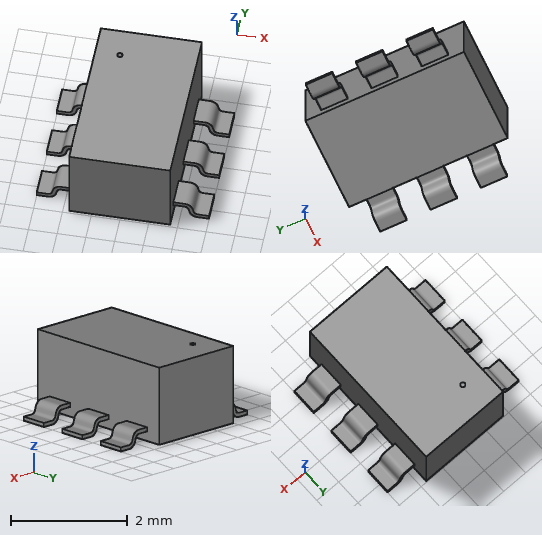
import cadquery as cq
import math

OVERALL_SPAN = 3.0
HOUSING_WIDTH = 1.76
HOUSING_LENGTH = 3.0
STANDOFF = 0.05
HOUSING_TOP = 1.44

MARK_DIAMETER = 0.087
MARK_HEIGHT = 0.01
MARK_EDGE_DISTANCE = 0.435

LEAD_PITCH = 0.95
LEAD_WIDTH = 0.5
LEAD_THICKNESS = 0.075
LEAD_TOP = 0.3
FOOT_LENGTH = 0.195
BEND_INNER_RADIUS = 0.075
BEND_ANGLE = 75.0
LEADS_PER_SIDE = 3

BEND_RADIUS = BEND_INNER_RADIUS + LEAD_THICKNESS / 2
BEND_RUN = BEND_RADIUS * math.sin(math.radians(BEND_ANGLE))
BEND_RISE = BEND_RADIUS * (1 - math.cos(math.radians(BEND_ANGLE)))
SLOPE_RISE = LEAD_TOP - LEAD_THICKNESS - 2 * BEND_RISE
SLOPE_RUN = SLOPE_RISE / math.tan(math.radians(BEND_ANGLE))


def make_housing():
    """Plain block raised above the seating plane."""
    return cq.Workplane("XY").workplane(offset=STANDOFF).rect(HOUSING_WIDTH, HOUSING_LENGTH).extrude(
        HOUSING_TOP - STANDOFF
    )


def make_mark():
    """Thin disc on the housing top, in line with the last lead row."""
    mark_x = -HOUSING_WIDTH / 2 + MARK_EDGE_DISTANCE
    return (
        cq.Workplane("XY", origin=(mark_x, LEAD_PITCH, HOUSING_TOP))
        .circle(MARK_DIAMETER / 2)
        .extrude(MARK_HEIGHT)
    )


def make_lead(y_center):
    """Lead on the -X side, offset in thickness from its bent centre line."""
    tip_x = -OVERALL_SPAN / 2
    foot_z = LEAD_THICKNESS / 2
    shoulder_z = LEAD_TOP - LEAD_THICKNESS / 2
    foot_end_x = tip_x + FOOT_LENGTH
    shoulder_x = foot_end_x + 2 * BEND_RUN + SLOPE_RUN
    lower_center = (foot_end_x, foot_z + BEND_RADIUS)
    upper_center = (shoulder_x, shoulder_z - BEND_RADIUS)
    outer_radius = BEND_INNER_RADIUS + LEAD_THICKNESS

    def lower_bend(radius, angle):
        turn = math.radians(angle)
        return (lower_center[0] + radius * math.sin(turn), lower_center[1] - radius * math.cos(turn))

    def upper_bend(radius, angle):
        turn = math.radians(angle)
        return (upper_center[0] - radius * math.sin(turn), upper_center[1] + radius * math.cos(turn))

    half_angle = BEND_ANGLE / 2
    profile = (
        cq.Workplane("XZ", origin=(0, y_center + LEAD_WIDTH / 2, 0))
        .moveTo(tip_x, 0)
        .lineTo(foot_end_x, 0)
        .threePointArc(lower_bend(outer_radius, half_angle), lower_bend(outer_radius, BEND_ANGLE))
        .lineTo(*upper_bend(BEND_INNER_RADIUS, BEND_ANGLE))
        .threePointArc(
            upper_bend(BEND_INNER_RADIUS, half_angle), upper_bend(BEND_INNER_RADIUS, 0)
        )
        .lineTo(-HOUSING_WIDTH / 2, LEAD_TOP - LEAD_THICKNESS)
        .lineTo(-HOUSING_WIDTH / 2, LEAD_TOP)
        .lineTo(shoulder_x, LEAD_TOP)
        .threePointArc(upper_bend(outer_radius, half_angle), upper_bend(outer_radius, BEND_ANGLE))
        .lineTo(*lower_bend(BEND_INNER_RADIUS, BEND_ANGLE))
        .threePointArc(
            lower_bend(BEND_INNER_RADIUS, half_angle), lower_bend(BEND_INNER_RADIUS, 0)
        )
        .lineTo(tip_x, LEAD_THICKNESS)
        .close()
    )
    return profile.extrude(LEAD_WIDTH)


housing = make_housing()
mark = make_mark()

leads = []
for row in range(LEADS_PER_SIDE):
    row_y = (row - (LEADS_PER_SIDE - 1) / 2) * LEAD_PITCH
    left_lead = make_lead(row_y)
    leads.append(left_lead.val())
    leads.append(left_lead.mirror("YZ").val())

result = cq.Compound.makeCompound([housing.val(), mark.val(), *leads])